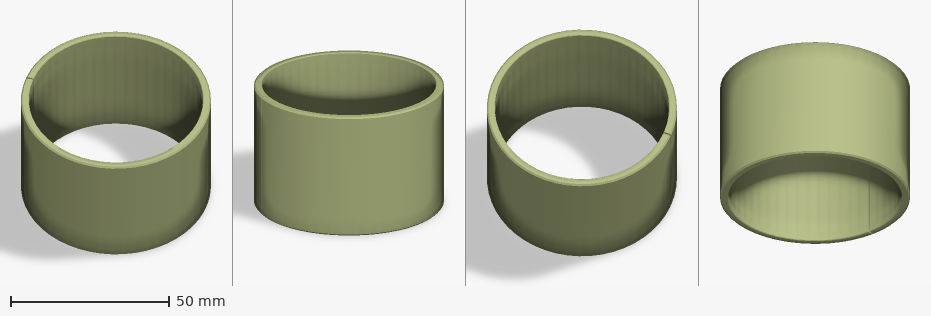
import cadquery as cq

outer_diameter = 60.0
inner_diameter = 55.0
length = 40.0
gap_angle = 1.0
outer_chamfer = 0.5
inner_chamfer = 0.2

outer_radius = outer_diameter / 2
inner_radius = inner_diameter / 2


def make_wall_section():
    """Chamfered wall section in the XZ plane, on the -X side, base at Z = 0."""
    return (
        cq.Workplane("XZ")
        .moveTo(-inner_radius - inner_chamfer, 0)
        .lineTo(-outer_radius + outer_chamfer, 0)
        .lineTo(-outer_radius, outer_chamfer)
        .lineTo(-outer_radius, length - outer_chamfer)
        .lineTo(-outer_radius + outer_chamfer, length)
        .lineTo(-inner_radius - inner_chamfer, length)
        .lineTo(-inner_radius, length - inner_chamfer)
        .lineTo(-inner_radius, inner_chamfer)
        .close()
    )


def make_split_bushing():
    """Sweep the section about +Z, through -Y, +X and +Y, stopping short of a full turn."""
    axis_start = (0, 0, 0)
    axis_end = (0, 1, 0)
    return make_wall_section().revolve(360 - gap_angle, axis_start, axis_end)


result = make_split_bushing()